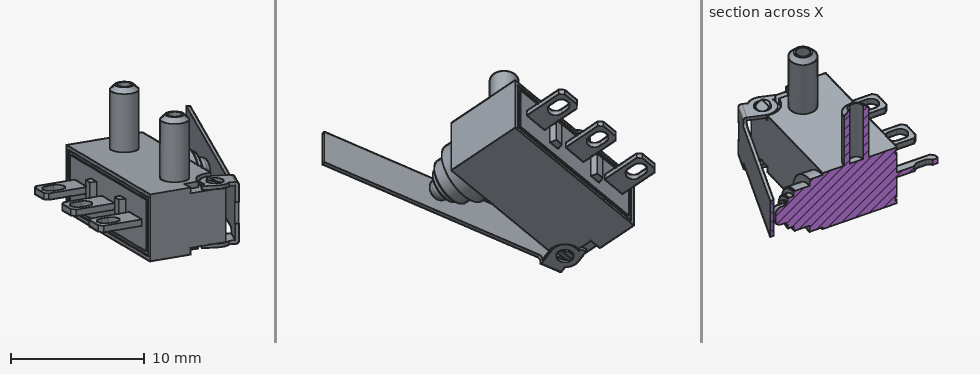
import cadquery as cq
import math


HOUSING_LENGTH = 13.3
HOUSING_DEPTH = 6.45
HOUSING_TOP = 2.6
HOUSING_BOTTOM = -2.69
HOUSING_HEIGHT = HOUSING_TOP - HOUSING_BOTTOM
HOUSING_MIDDLE_Z = (HOUSING_TOP + HOUSING_BOTTOM) / 2
CENTRE_X = HOUSING_LENGTH / 2

GROOVE_INSET = 0.32
GROOVE_WIDTH = 0.3
GROOVE_DEPTH = 0.12

POST_SPACING = 8.0
POST_Y = 3.5
POST_DIAMETER = 2.2
POST_TIP_DIAMETER = 1.4
POST_BORE_DIAMETER = 1.1
POST_HEIGHT = 5.0
FIRST_POST_X = CENTRE_X - POST_SPACING / 2

PLUNGER_X = FIRST_POST_X
PLUNGER_STEPS = [
    (4.95, 1.13, 0),
    (3.8, 1.36, 0.1),
    (2.9, 0.53, 0.08),
    (2.13, 0.15, 0),
]
BUTTON_DIAMETER = 1.7
BUTTON_HEIGHT = 0.89
BUTTON_ROUNDING = 0.47

TERMINAL_PITCH = 4.35
TERMINAL_WIDTH = 2.0
TERMINAL_LENGTH = 3.54
TERMINAL_THICKNESS = 0.51
TERMINAL_CHAMFER = 0.3
EYE_WIDTH = 1.2
EYE_LENGTH = 1.78
EYE_CENTRE_Y = -2.31

RIB_BASE_WIDTH = 0.9
RIB_TIP_WIDTH = 0.61
RIB_PROJECTION = 0.51
RIB_LENGTH = 2.21
RIB_SPACING = 4.58

HINGE_X = 12.3
HINGE_Y = 6.05
HINGE_HOLE_DIAMETER = 1.3
PIN_DIAMETER = 1.2
PIN_HEIGHT = 0.45
PIN_RAMP_LENGTH = 0.67
PIN_RAMP_DROP = 0.41
RECESS_RADIUS = 1.4
RECESS_LOWER_Y = 3.44

LEVER_ANGLE = 17.8
SHEET_THICKNESS = 0.3
LEVER_WIDTH = 4.9
EAR_RADIUS = 1.15
EAR_RIGHT_X = 0.57
EAR_TAIL_WIDTH = 0.5
EAR_TAIL_REACH = 1.19
EAR_TAIL_ROUNDING = 0.15
BEND_RADIUS = 0.28
ARM_TOP_Y = 1.74
ARM_WIDTH = 3.4
ARM_REACH = 20.02
ARM_FILLET = 0.28
NOTCH_WIDTH = 1.72
NOTCH_DEPTH = 0.15

EAR_OUTER_Z = LEVER_WIDTH / 2
EAR_INNER_Z = EAR_OUTER_Z - SHEET_THICKNESS
SIDES = (1, -1)


def spread(count, pitch):
    """x positions of `count` equally spaced features, centred on the housing."""
    return [CENTRE_X + pitch * (i - (count - 1) / 2) for i in range(count)]


def face_frame(inset):
    """Block over the terminal face, as deep as the seal groove, inset from its edges."""
    return (
        cq.Workplane("XY")
        .box(HOUSING_LENGTH - 2 * inset, GROOVE_DEPTH, HOUSING_HEIGHT - 2 * inset)
        .translate((CENTRE_X, GROOVE_DEPTH / 2, HOUSING_MIDDLE_Z))
    )


def make_block():
    block = cq.Workplane("XY", origin=(0, 0, HOUSING_BOTTOM)).box(
        HOUSING_LENGTH, HOUSING_DEPTH, HOUSING_HEIGHT, centered=False
    )
    seal_groove = face_frame(GROOVE_INSET).cut(face_frame(GROOVE_INSET + GROOVE_WIDTH))
    return block.cut(seal_groove)


def make_post(x):
    chamfer = (POST_DIAMETER - POST_TIP_DIAMETER) / 2
    return (
        cq.Workplane("XY", origin=(x, POST_Y, HOUSING_TOP))
        .circle(POST_DIAMETER / 2)
        .extrude(POST_HEIGHT)
        .faces(">Z")
        .chamfer(chamfer)
        .faces(">Z")
        .workplane()
        .hole(POST_BORE_DIAMETER, POST_HEIGHT)
    )


def plunger_cylinder(diameter, start_y, height):
    return (
        cq.Workplane("XZ", origin=(PLUNGER_X, start_y, HOUSING_MIDDLE_Z))
        .circle(diameter / 2)
        .extrude(-height)
    )


def make_plunger():
    y = HOUSING_DEPTH
    plunger = cq.Workplane("XY")
    for diameter, height, chamfer in PLUNGER_STEPS:
        step = plunger_cylinder(diameter, y, height)
        if chamfer:
            step = step.faces(">Y").chamfer(chamfer)
        plunger = plunger.add(step)
        y += height
    button = plunger_cylinder(BUTTON_DIAMETER, y, BUTTON_HEIGHT)
    plunger = plunger.add(button.faces(">Y").edges().fillet(BUTTON_ROUNDING))
    return plunger.combine()


def make_terminal(x):
    blade = (
        cq.Workplane("XY")
        .box(TERMINAL_WIDTH, TERMINAL_LENGTH, TERMINAL_THICKNESS)
        .translate((x, -TERMINAL_LENGTH / 2, 0))
        .edges("|Z and <Y")
        .chamfer(TERMINAL_CHAMFER)
    )
    eye = (
        cq.Workplane("XY", origin=(x, EYE_CENTRE_Y, 0))
        .slot2D(EYE_LENGTH, EYE_WIDTH, 90)
        .extrude(TERMINAL_THICKNESS, both=True)
    )
    return blade.cut(eye)


def make_rib(x):
    return (
        cq.Workplane("XY", origin=(x, 0, 0))
        .moveTo(-RIB_BASE_WIDTH / 2, 0)
        .lineTo(-RIB_TIP_WIDTH / 2, -RIB_PROJECTION)
        .lineTo(RIB_TIP_WIDTH / 2, -RIB_PROJECTION)
        .lineTo(RIB_BASE_WIDTH / 2, 0)
        .close()
        .extrude(RIB_LENGTH / 2, both=True)
    )


def make_ear_recess(side):
    """Pocket in the upper (side 1) or lower (side -1) face that clears one lever ear."""
    quarter = RECESS_RADIUS * math.sqrt(0.5)
    return (
        cq.Workplane("XY", origin=(HINGE_X, HINGE_Y, side * EAR_INNER_Z))
        .moveTo(-RECESS_RADIUS, HOUSING_DEPTH - HINGE_Y)
        .lineTo(-RECESS_RADIUS, 0)
        .threePointArc((-quarter, -quarter), (0, -RECESS_RADIUS))
        .lineTo(0, RECESS_LOWER_Y - HINGE_Y)
        .lineTo(HOUSING_LENGTH - HINGE_X, RECESS_LOWER_Y - HINGE_Y)
        .lineTo(HOUSING_LENGTH - HINGE_X, HOUSING_DEPTH - HINGE_Y)
        .close()
        .extrude(side * HOUSING_HEIGHT)
    )


def make_hinge_pin(side):
    """Stub in a recess, cut flush with the +Y wall and ramped down towards it."""
    stub = (
        cq.Workplane("XY", origin=(HINGE_X, HINGE_Y, side * EAR_INNER_Z))
        .circle(PIN_DIAMETER / 2)
        .extrude(side * PIN_HEIGHT)
    )
    top = side * (EAR_INNER_Z + PIN_HEIGHT)
    ramp_start = HOUSING_DEPTH - PIN_RAMP_LENGTH
    keep = (
        cq.Workplane("YZ", origin=(HINGE_X, 0, 0))
        .moveTo(0, 0)
        .lineTo(0, top)
        .lineTo(ramp_start, top)
        .lineTo(HOUSING_DEPTH, top - side * PIN_RAMP_DROP)
        .lineTo(HOUSING_DEPTH, 0)
        .close()
        .extrude(PIN_DIAMETER, both=True)
    )
    return stub.intersect(keep)


def make_housing():
    housing = make_block().union(make_plunger())
    for side in SIDES:
        housing = housing.cut(make_ear_recess(side)).union(make_hinge_pin(side))
    for x in spread(2, POST_SPACING):
        housing = housing.union(make_post(x))
    for x in spread(3, TERMINAL_PITCH):
        housing = housing.union(make_terminal(x))
    for x in spread(2, RIB_SPACING):
        housing = housing.union(make_rib(x))
    return housing


def sheet_rectangle(x0, x1, y0, y1):
    """Rectangle one sheet thick, at the level of the upper ear."""
    return cq.Workplane("XY", origin=(x0, y0, EAR_INNER_Z)).box(
        x1 - x0, y1 - y0, SHEET_THICKNESS, centered=False
    )


def sheet_disc(diameter):
    """Disc on the hinge axis, one sheet thick, at the level of the upper ear."""
    return (
        cq.Workplane("XY", origin=(0, 0, EAR_INNER_Z))
        .circle(diameter / 2)
        .extrude(SHEET_THICKNESS)
    )


def make_ear():
    neck = sheet_rectangle(-EAR_RADIUS, EAR_RIGHT_X, 0, ARM_TOP_Y)
    tail = sheet_rectangle(EAR_RADIUS - EAR_TAIL_WIDTH, EAR_RADIUS, -EAR_TAIL_REACH, 0)
    tail = tail.edges("|Z and <X and <Y").fillet(EAR_TAIL_ROUNDING)
    return sheet_disc(2 * EAR_RADIUS).union(neck).union(tail).cut(sheet_disc(HINGE_HOLE_DIAMETER))


def plate_slab(x0, x1, width):
    """Piece of the lever's flat, centred on z = 0."""
    return (
        cq.Workplane("XY")
        .box(x1 - x0, SHEET_THICKNESS, width)
        .translate(((x0 + x1) / 2, ARM_TOP_Y - SHEET_THICKNESS / 2, 0))
    )


def make_plate():
    """Flat of the lever: long arm, wider base between the ears and a notch in its end."""
    arm = plate_slab(-ARM_REACH, 0, ARM_WIDTH)
    base = plate_slab(-EAR_RADIUS, EAR_RIGHT_X, LEVER_WIDTH)
    plate = arm.union(base)
    for side in SIDES:
        inner_corner = cq.selectors.NearestToPointSelector(
            (-EAR_RADIUS, ARM_TOP_Y - SHEET_THICKNESS / 2, side * ARM_WIDTH / 2)
        )
        plate = plate.edges("|Y").edges(inner_corner).fillet(ARM_FILLET)
    return plate.cut(plate_slab(EAR_RIGHT_X - NOTCH_DEPTH, EAR_RIGHT_X, NOTCH_WIDTH))


def make_lever():
    ear = make_ear()
    lever = make_plate().union(ear).union(ear.mirror("XY"))
    for outer_face in (">Z", "<Z"):
        lever = lever.faces(outer_face).edges(">Y").fillet(BEND_RADIUS)
    return lever.rotate((0, 0, 0), (0, 0, 1), -LEVER_ANGLE).translate((HINGE_X, HINGE_Y, 0))


housing = make_housing()
lever = make_lever()
result = cq.Compound.makeCompound([housing.solids().val(), lever.solids().val()])